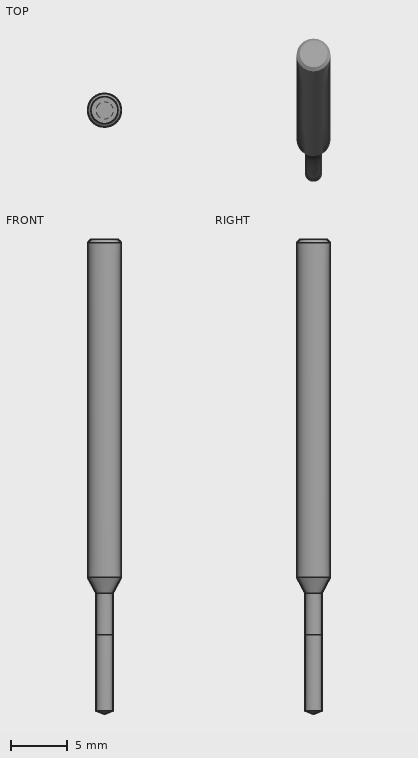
import cadquery as cq

TOTAL_LENGTH = 42.0
SHANK_DIAMETER = 3.0
CUTTER_DIAMETER = 1.5

POINT_HEIGHT = 0.3
CUTTER_TOP = 7.0
NECK_TOP = 10.7
TAPER_TOP = 12.1

SHANK_CHAMFER = 0.3

SHANK_RADIUS = SHANK_DIAMETER / 2
CUTTER_RADIUS = CUTTER_DIAMETER / 2


def revolve_profile(points):
    """Revolve a closed (radius, height) outline about the Z axis."""
    outline = cq.Workplane("XZ").polyline(points).close()
    return outline.revolve(360, (0, 0, 0), (0, 1, 0))


def make_holder():
    """Chamfered shank with a taper down to a neck of the cutter's diameter."""
    return revolve_profile([
        (0, CUTTER_TOP),
        (CUTTER_RADIUS, CUTTER_TOP),
        (CUTTER_RADIUS, NECK_TOP),
        (SHANK_RADIUS, TAPER_TOP),
        (SHANK_RADIUS, TOTAL_LENGTH - SHANK_CHAMFER),
        (SHANK_RADIUS - SHANK_CHAMFER, TOTAL_LENGTH),
        (0, TOTAL_LENGTH),
    ])


def make_cutter():
    """Cylindrical cutting end with a conical point, butted against the neck."""
    return revolve_profile([
        (0, 0),
        (CUTTER_RADIUS, POINT_HEIGHT),
        (CUTTER_RADIUS, CUTTER_TOP),
        (0, CUTTER_TOP),
    ])


holder = make_holder()
cutter = make_cutter()

result = cq.Compound.makeCompound([holder.val(), cutter.val()])